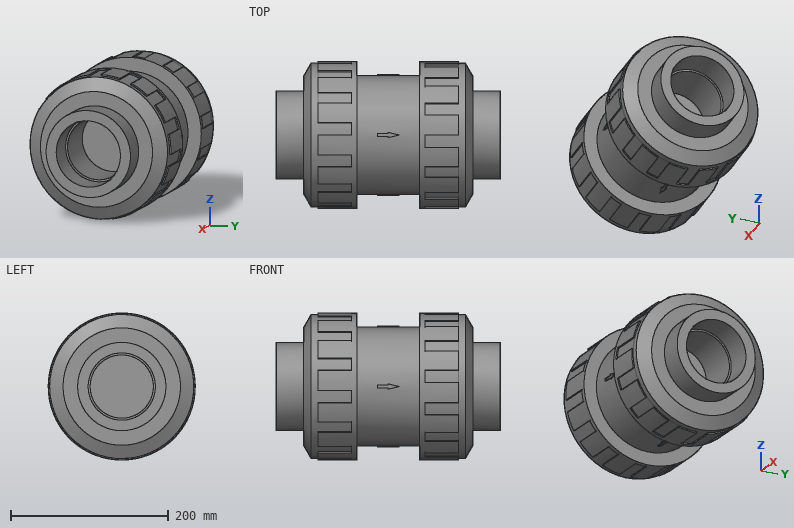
import cadquery as cq
import math


LENGTH = 285.0
PIPE_RADIUS = 56.1
PIPE_END_LENGTH = 34.8
SOCKET_RADIUS = 42.8
SOCKET_DEPTH = 40.0
BORE_RADIUS = 40.2

NUT_LENGTH = 67.8
NUT_RADIUS = 93.5
NUT_FACE_RADIUS = 74.7
NUT_CHAMFER_LENGTH = 9.7
PAD_HEIGHT = 1.85
PAD_COUNT = 14
PAD_START = 18.2
GROOVE_LENGTH = 43.0
GROOVE_ANGLE = 9.8

BODY_RADIUS = 75.8
ARROW_HEIGHT = 1.0
ARROW_COUNT = 4
SHAFT_LENGTH = 13.5
SHAFT_WIDTH = 3.5
HEAD_LENGTH = 14.0
HEAD_WIDTH = 6.8

LEFT_END = -LENGTH / 2
RIGHT_END = LENGTH / 2
LEFT_NUT_FACE = LEFT_END + PIPE_END_LENGTH
RIGHT_NUT_FACE = RIGHT_END - PIPE_END_LENGTH
BODY_LENGTH = RIGHT_NUT_FACE - LEFT_NUT_FACE - 2 * NUT_LENGTH
BORE_DEPTH = PIPE_END_LENGTH + NUT_LENGTH
PAD_BASE_RADIUS = NUT_RADIUS - PAD_HEIGHT
PAD_PITCH = 360 / PAD_COUNT


def x_cylinder(start, length, radius):
    """Cylinder about the X axis, growing from start by length."""
    return cq.Workplane("YZ", origin=(start, 0, 0)).circle(radius).extrude(length)


def groove_cutter():
    """Ring sector above the pad base, with one edge on +Z and open toward the outer face."""
    reach = 2 * NUT_RADIUS
    angle = math.radians(GROOVE_ANGLE)
    wedge = (
        cq.Workplane("YZ", origin=(PAD_START, 0, 0))
        .polyline([(0, 0), (0, reach), (reach * math.sin(angle), reach * math.cos(angle))])
        .close()
        .extrude(GROOVE_LENGTH)
    )
    return wedge.cut(x_cylinder(PAD_START, GROOVE_LENGTH, PAD_BASE_RADIUS))


def union_nut():
    """Nut with its outer face at X = 0 and its body toward +X."""
    nut = (
        cq.Workplane("XY")
        .polyline([
            (0, 0),
            (0, NUT_FACE_RADIUS),
            (NUT_CHAMFER_LENGTH, PAD_BASE_RADIUS),
            (PAD_START, PAD_BASE_RADIUS),
            (PAD_START, NUT_RADIUS),
            (NUT_LENGTH, NUT_RADIUS),
            (NUT_LENGTH, 0),
        ])
        .close()
        .revolve(360, (0, 0, 0), (1, 0, 0))
    )
    groove = groove_cutter()
    for index in range(PAD_COUNT):
        nut = nut.cut(groove.rotate((0, 0, 0), (1, 0, 0), index * PAD_PITCH))
    return nut


def flow_arrows():
    """Arrows pointing to +X around the body, rising above its surface."""
    tail = -(SHAFT_LENGTH + HEAD_LENGTH) / 2
    neck = tail + SHAFT_LENGTH
    shell_radius = BODY_RADIUS + ARROW_HEIGHT
    arrow = (
        cq.Workplane("XY")
        .polyline([
            (tail, -SHAFT_WIDTH / 2),
            (neck, -SHAFT_WIDTH / 2),
            (neck, -HEAD_WIDTH / 2),
            (neck + HEAD_LENGTH, 0),
            (neck, HEAD_WIDTH / 2),
            (neck, SHAFT_WIDTH / 2),
            (tail, SHAFT_WIDTH / 2),
        ])
        .close()
        .extrude(NUT_RADIUS)
        .intersect(x_cylinder(tail, SHAFT_LENGTH + HEAD_LENGTH, shell_radius))
    )
    arrows = arrow
    for index in range(1, ARROW_COUNT):
        arrows = arrows.union(arrow.rotate((0, 0, 0), (1, 0, 0), index * 360 / ARROW_COUNT))
    return arrows


def socket_cutter():
    """Stepped blind bore starting at X = 0 and running toward +X."""
    return x_cylinder(0, SOCKET_DEPTH, SOCKET_RADIUS).union(x_cylinder(0, BORE_DEPTH, BORE_RADIUS))


def place_at_ends(shape, left, right):
    """One copy at left, and one at right turned half a turn about Z."""
    turned = shape.rotate((0, 0, 0), (0, 0, 1), 180)
    return shape.translate((left, 0, 0)), turned.translate((right, 0, 0))


result = x_cylinder(LEFT_END, LENGTH, PIPE_RADIUS)
result = result.union(x_cylinder(-BODY_LENGTH / 2, BODY_LENGTH, BODY_RADIUS))

for nut in place_at_ends(union_nut(), LEFT_NUT_FACE, RIGHT_NUT_FACE):
    result = result.union(nut)

result = result.union(flow_arrows())

for socket in place_at_ends(socket_cutter(), LEFT_END, RIGHT_END):
    result = result.cut(socket)